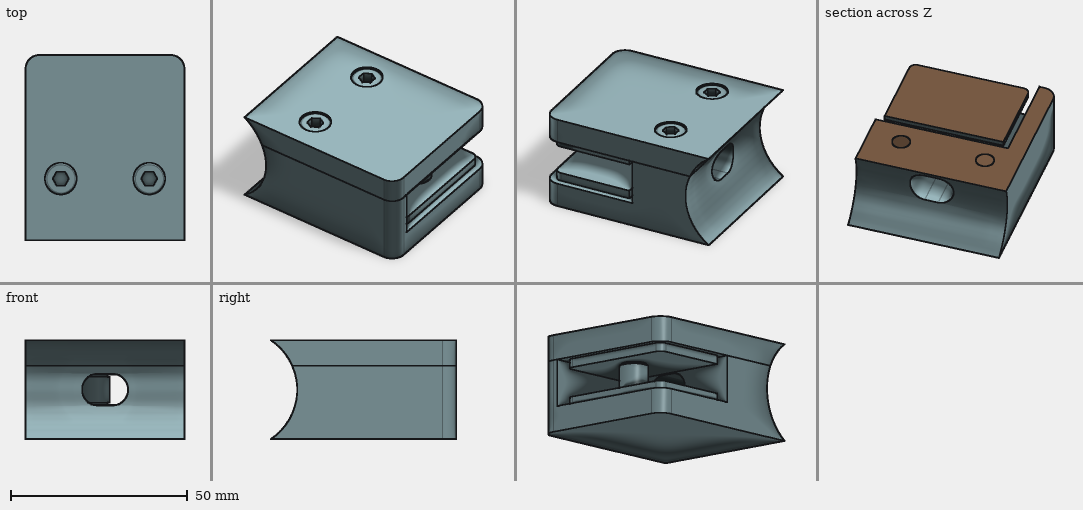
import cadquery as cq
import math


WIDTH = 45.0
HEIGHT = 28.0
JAW_THICKNESS = 7.25
TUBE_RADIUS = 33.7 / 2
BODY_LENGTH = 45.0
CORNER_RADIUS = 4.0

SLOT_DEPTH = 28.0
SIDE_WALL = 5.5

GASKET_THICKNESS = 2.5
GASKET_MARGIN = 2.0

PIN_DIAMETER = 8.2
PIN_END_DIAMETER = 7.0
PIN_END_LENGTH = 0.6
PIN_INSET = 10.5

OPENING_WIDTH = 13.0
OPENING_HEIGHT = 9.0

SCREW_SPACING = 25.0
SCREW_INSET = 35.0
HEAD_DIAMETER = 9.0
HEAD_HEIGHT = 5.0
HEAD_ROUNDING = 0.5
HEAD_RECESS = 0.3
SHANK_DIAMETER = 5.0
SHANK_LENGTH = 12.0
KEY_SIZE = 4.0
KEY_DEPTH = 3.0

mid_height = HEIGHT / 2
split_height = HEIGHT - JAW_THICKNESS
saddle_tip_y = math.sqrt(TUBE_RADIUS**2 - mid_height**2)
glass_end_y = TUBE_RADIUS + BODY_LENGTH
slot_end_y = glass_end_y - SLOT_DEPTH
slot_left_x = -WIDTH / 2
slot_right_x = WIDTH / 2 - SIDE_WALL
slot_mid_x = (slot_left_x + slot_right_x) / 2
pin_y = glass_end_y - PIN_INSET
screw_y = glass_end_y - SCREW_INSET
screw_x_positions = [-SCREW_SPACING / 2, SCREW_SPACING / 2]
head_top = HEIGHT - HEAD_RECESS
head_bottom = head_top - HEAD_HEIGHT


def block(x_min, x_max, y_min, y_max, z_min, z_max):
    """Box given by its limits along each axis."""
    size = (x_max - x_min, y_max - y_min, z_max - z_min)
    return cq.Workplane("XY").box(*size, centered=False).translate((x_min, y_min, z_min))


def clamp_blank(z_min, z_max):
    """Layer of the clamp outline, with rounded glass-end corners and the tube saddle."""
    blank = block(-WIDTH / 2, WIDTH / 2, saddle_tip_y, glass_end_y, z_min, z_max)
    blank = blank.edges("|Z and >Y").fillet(CORNER_RADIUS)
    tube = (
        cq.Workplane("YZ")
        .center(0, mid_height)
        .circle(TUBE_RADIUS)
        .extrude(WIDTH, both=True)
    )
    return blank.cut(tube)


def screw_envelope(x):
    """Space taken by one screw, with its head pocket open to the cover's top face."""
    shank = (
        cq.Workplane("XY", origin=(x, screw_y, head_bottom - SHANK_LENGTH))
        .circle(SHANK_DIAMETER / 2)
        .extrude(SHANK_LENGTH)
    )
    head_pocket = (
        cq.Workplane("XY", origin=(x, screw_y, head_bottom))
        .circle(HEAD_DIAMETER / 2)
        .extrude(HEIGHT - head_bottom)
    )
    return shank.union(head_pocket)


def make_base():
    """Lower jaw, with the saddle block and the side wall that closes the slot."""
    base = clamp_blank(0, split_height)
    slot = block(slot_left_x, slot_right_x, slot_end_y, glass_end_y, JAW_THICKNESS, split_height)
    opening = (
        cq.Workplane("XZ", origin=(0, slot_end_y, mid_height))
        .slot2D(OPENING_WIDTH, OPENING_HEIGHT)
        .extrude(slot_end_y)
    )
    base = base.cut(slot).cut(opening)
    for x in screw_x_positions:
        base = base.cut(screw_envelope(x))
    return base


def make_cover():
    """Flat upper jaw, bored and counterbored for the screws."""
    cover = clamp_blank(split_height, HEIGHT)
    for x in screw_x_positions:
        cover = cover.cut(screw_envelope(x))
    return cover


def make_gasket(z_min):
    """Flat pad inset from the slot sides, rounded concentric with the jaw corner."""
    pad = block(
        slot_left_x + GASKET_MARGIN,
        slot_right_x - GASKET_MARGIN,
        slot_end_y + GASKET_MARGIN,
        glass_end_y - GASKET_MARGIN,
        z_min,
        z_min + GASKET_THICKNESS,
    )
    return pad.edges("|Z and >Y").fillet(CORNER_RADIUS - GASKET_MARGIN)


def make_pin():
    """Pin standing between the gaskets, with a reduced diameter at each end."""
    pin_bottom = JAW_THICKNESS + GASKET_THICKNESS
    pin_length = split_height - GASKET_THICKNESS - pin_bottom
    core = (
        cq.Workplane("XY", origin=(slot_mid_x, pin_y, pin_bottom))
        .circle(PIN_END_DIAMETER / 2)
        .extrude(pin_length)
    )
    barrel = (
        cq.Workplane("XY", origin=(slot_mid_x, pin_y, pin_bottom + PIN_END_LENGTH))
        .circle(PIN_DIAMETER / 2)
        .extrude(pin_length - 2 * PIN_END_LENGTH)
    )
    return core.union(barrel)


def make_screw(x):
    """Socket head screw with a rounded head rim and a hexagon socket."""
    head = (
        cq.Workplane("XY", origin=(x, screw_y, head_bottom))
        .circle(HEAD_DIAMETER / 2)
        .extrude(HEAD_HEIGHT)
        .faces(">Z")
        .edges()
        .fillet(HEAD_ROUNDING)
    )
    shank = (
        cq.Workplane("XY", origin=(x, screw_y, head_bottom - SHANK_LENGTH))
        .circle(SHANK_DIAMETER / 2)
        .extrude(SHANK_LENGTH)
    )
    key_corner_diameter = KEY_SIZE / math.cos(math.pi / 6)
    socket = (
        cq.Workplane("XY", origin=(x, screw_y, head_top - KEY_DEPTH))
        .polygon(6, key_corner_diameter)
        .extrude(KEY_DEPTH)
    )
    return head.union(shank).cut(socket)


base = make_base()
cover = make_cover()
lower_gasket = make_gasket(JAW_THICKNESS)
upper_gasket = make_gasket(split_height - GASKET_THICKNESS)
pin = make_pin()
screws = [make_screw(x) for x in screw_x_positions]

result = cq.Compound.makeCompound([
    base.val(),
    cover.val(),
    lower_gasket.val(),
    upper_gasket.val(),
    pin.val(),
    *[screw.val() for screw in screws],
])